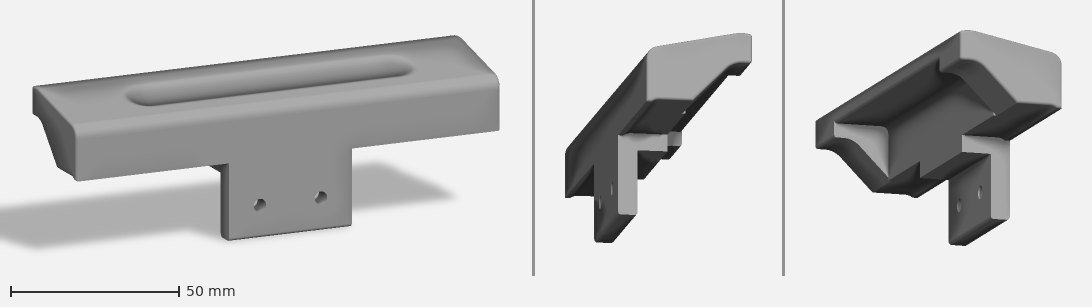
import cadquery as cq
import math

depth = 31.9
length = 138.5
height = 46.0

features_center_y = 0.7

top_tilt = math.radians(11.5)
crown_radius = 10.0
crown_center_x = 3.0
back_top_radius = 4.0
nose_bottom_z = 36.8
belly_radius = 6.9
belly_corner_x = 5.8
bar_bottom_z = 24.8
heel_start_x = 28.0
heel_end_x = 30.3
heel_radius = 4.0
nose_edge_radius = 0.8
end_edge_radius = 0.8

recess_length = 100.0
recess_wall_x = 16.9
recess_ceiling_z = 41.1
recess_corner_radius = 2.1
recess_lip_radius = 0.8

bracket_length = 40.0
foot_bottom_z = 19.7
bracket_top_z = 33.2
plate_thickness = 6.0
plate_edge_radius = 1.0
screw_diameter = 4.0
screw_spacing = 20.0
screw_z = 10.0

dish_center_x = 16.8
dish_straight_length = 80.0
dish_bowl_radius = 12.0
dish_bowl_half_width = 6.0
dish_lip_radius = 4.0


def ring_point(center, radius, angle):
    """Point on a circle, with the angle measured from straight up toward +X."""
    return (center[0] + radius * math.sin(angle), center[1] + radius * math.cos(angle))


crown_center = (crown_center_x, height - crown_radius)
crown_end = ring_point(crown_center, crown_radius, top_tilt)


def top_z(x):
    """Height of the sloping top face at x."""
    return crown_end[1] - (x - crown_end[0]) * math.tan(top_tilt)


def extrude_centered(sketch, width):
    """Extrude an XZ outline by width, centered on Y = 0."""
    return sketch.extrude(width / 2, both=True)


def make_bar():
    """Grip bar: the full-length section with its nose and end edges rounded."""
    crown_front_angle = -math.asin(crown_center_x / crown_radius)
    crown_start = ring_point(crown_center, crown_radius, crown_front_angle)
    crown_mid = ring_point(crown_center, crown_radius, (crown_front_angle + top_tilt) / 2)

    back_x = depth - back_top_radius
    back_top_x = back_x + back_top_radius * math.sin(top_tilt)
    back_center = (back_x, top_z(back_top_x) - back_top_radius * math.cos(top_tilt))
    back_mid = ring_point(back_center, back_top_radius, (top_tilt + math.pi / 2) / 2)

    heel_run = heel_end_x - heel_start_x
    heel_center = (heel_start_x, bar_bottom_z - heel_radius)
    heel_angle = math.asin(heel_run / heel_radius)
    heel_end = ring_point(heel_center, heel_radius, heel_angle)
    heel_mid = ring_point(heel_center, heel_radius, heel_angle / 2)

    belly_angle = math.pi / 4
    belly_start_x = belly_corner_x - belly_radius * math.tan(belly_angle / 2)
    belly_center = (belly_start_x, nose_bottom_z - belly_radius)
    belly_end = ring_point(belly_center, belly_radius, belly_angle)
    belly_mid = ring_point(belly_center, belly_radius, belly_angle / 2)
    belly_bottom_x = belly_corner_x + nose_bottom_z - bar_bottom_z

    outline = (
        cq.Workplane("XZ")
        .moveTo(*crown_start)
        .threePointArc(crown_mid, crown_end)
        .lineTo(back_top_x, top_z(back_top_x))
        .threePointArc(back_mid, (depth, back_center[1]))
        .lineTo(depth, heel_end[1])
        .lineTo(*heel_end)
        .threePointArc(heel_mid, (heel_start_x, bar_bottom_z))
        .lineTo(belly_bottom_x, bar_bottom_z)
        .lineTo(*belly_end)
        .threePointArc(belly_mid, (belly_start_x, nose_bottom_z))
        .lineTo(0, nose_bottom_z)
        .close()
    )
    bar = extrude_centered(outline, length)
    bar = bar.faces("<X").edges("|Y").fillet(nose_edge_radius)
    return bar.faces("<Y or >Y").edges().fillet(end_edge_radius)


def make_recess():
    """Cutter for the finger recess, open to the front and below."""
    outline = (
        cq.Workplane("XZ")
        .moveTo(0, 0)
        .lineTo(recess_wall_x, 0)
        .lineTo(recess_wall_x, recess_ceiling_z - recess_corner_radius)
        .tangentArcPoint((recess_wall_x - recess_corner_radius, recess_ceiling_z), relative=False)
        .lineTo(recess_lip_radius, recess_ceiling_z)
        .tangentArcPoint((0, recess_ceiling_z + recess_lip_radius), relative=False)
        .close()
    )
    return extrude_centered(outline, recess_length)


def block_between(front_x, back_x, width, bottom_z, upper_z):
    """Block between two X positions and two heights, centered on Y = 0."""
    size = (back_x - front_x, width, upper_z - bottom_z)
    block = cq.Workplane("XY").box(*size, centered=(False, True, False))
    return block.translate((front_x, 0, bottom_z))


def make_bracket():
    """Recess wall base, foot and screw plate, with the screw holes."""
    wall_base = block_between(recess_wall_x, heel_start_x, recess_length, bar_bottom_z, bracket_top_z)
    foot = block_between(recess_wall_x, depth, bracket_length, foot_bottom_z, bracket_top_z)
    plate = block_between(depth - plate_thickness, depth, bracket_length, 0, bracket_top_z)
    plate = plate.faces("<Z").edges("|Y").fillet(plate_edge_radius)
    screw_holes = (
        cq.Workplane("YZ")
        .pushPoints([(-screw_spacing / 2, screw_z), (screw_spacing / 2, screw_z)])
        .circle(screw_diameter / 2)
        .extrude(depth)
    )
    return wall_base.union(foot).union(plate).cut(screw_holes)


def dish_half_section():
    """Half of the dish section: the rounded lip, the bowl and the center line."""
    lip_angle = math.asin(dish_bowl_half_width / dish_bowl_radius)
    rim = (dish_bowl_radius + dish_lip_radius) * math.sin(lip_angle)
    lip_center = (rim, -dish_lip_radius)
    lip_mid = ring_point(lip_center, dish_lip_radius, -lip_angle / 2)
    lip_end = ring_point(lip_center, dish_lip_radius, -lip_angle)
    bowl_center = (0, lip_end[1] + dish_bowl_radius * math.cos(lip_angle))
    bowl_mid = ring_point(bowl_center, dish_bowl_radius, math.pi - lip_angle / 2)
    bowl_bottom = ring_point(bowl_center, dish_bowl_radius, math.pi)

    return (
        cq.Workplane("XZ")
        .moveTo(rim, 0)
        .threePointArc(lip_mid, lip_end)
        .threePointArc(bowl_mid, bowl_bottom)
        .lineTo(0, 0)
        .close()
    )


def make_dish():
    """Cutter for the dish: a trough with a round bowl at each end."""
    half_trough = extrude_centered(dish_half_section(), dish_straight_length)
    bowl = dish_half_section().revolve(360, (0, 0), (0, 1))
    cutter = half_trough.union(half_trough.mirror("YZ"))
    for end_y in (-dish_straight_length / 2, dish_straight_length / 2):
        cutter = cutter.union(bowl.translate((0, end_y, 0)))
    cutter = cutter.rotate((0, 0, 0), (0, 1, 0), math.degrees(top_tilt))
    return cutter.translate((dish_center_x, 0, top_z(dish_center_x)))


off_center = (0, features_center_y, 0)
result = (
    make_bar()
    .cut(make_recess().translate(off_center))
    .union(make_bracket().translate(off_center))
    .cut(make_dish().translate(off_center))
)